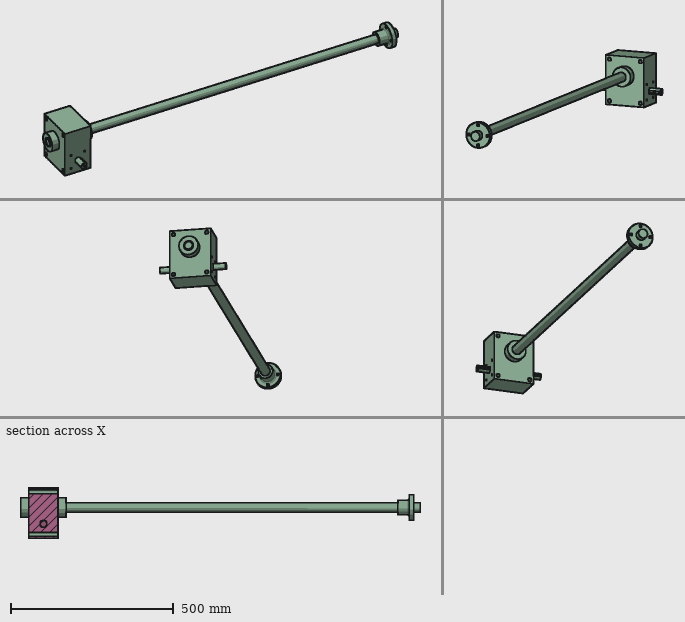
import cadquery as cq


housing_width = 129.0
housing_depth = 91.0
housing_height = 155.0
housing_center_z = -17.0
corner_hole_diameter = 11.0
corner_hole_pitch_x = 104.0
corner_hole_pitch_z = 130.0
mount_hole_diameter = 5.0
mount_hole_pitch = 48.0
mount_hole_depth = 12.0

sleeve_diameter = 60.0
sleeve_length = 140.0
sleeve_start_y = -sleeve_length / 2

spindle_diameter = 30.0
spindle_chamfer = 2.0
spindle_length = 1228.0
spindle_end_y = sleeve_start_y + spindle_length

nut_body_diameter = 45.0
nut_length = 49.0
nut_flange_diameter = 80.0
nut_flange_thickness = 15.0
nut_fillet_radius = 4.0
nut_end_setback = 20.0
nut_end_y = spindle_end_y - nut_end_setback
nut_hole_diameter = 7.0
nut_hole_circle_diameter = 63.0
nut_hole_count = 4

shaft_diameter = 20.0
shaft_length = 206.0
shaft_z = -50.0
center_hole_diameter = 5.0
center_hole_depth = 12.0
key_width = 6.0
key_length = 32.0
key_end_gap = 4.0
key_protrusion = 2.0
key_seat_depth = 4.0

BOTH_SIDES = (-1, 1)


def cylinder_along_y(diameter, start_y, length):
    """Cylinder on the spindle axis, from start_y toward +Y."""
    plane = cq.Plane(origin=(0, start_y, 0), xDir=(1, 0, 0), normal=(0, 1, 0))
    return cq.Workplane(plane).circle(diameter / 2).extrude(length)


def cylinder_along_x(diameter, start_x, length, y=0.0, z=shaft_z):
    """Cylinder parallel to X, from start_x toward +X, or toward -X if length is negative."""
    plane = cq.Plane(origin=(start_x, y, z), xDir=(0, 1, 0), normal=(1, 0, 0))
    return cq.Workplane(plane).circle(diameter / 2).extrude(length)


def drill_mount_holes(block, side):
    """Cut four blind holes around the worm shaft into one X side of the housing."""
    for y_side in BOTH_SIDES:
        for z_side in BOTH_SIDES:
            y = y_side * mount_hole_pitch / 2
            z = shaft_z + z_side * mount_hole_pitch / 2
            hole = cylinder_along_x(
                mount_hole_diameter, side * housing_width / 2, -side * mount_hole_depth, y, z
            )
            block = block.cut(hole)
    return block


def make_housing():
    """Block with corner through holes, mounting holes and bores for the sleeve and the shaft."""
    block = (
        cq.Workplane("XY")
        .box(housing_width, housing_depth, housing_height)
        .faces("<Y")
        .workplane(centerOption="CenterOfBoundBox")
        .rect(corner_hole_pitch_x, corner_hole_pitch_z, forConstruction=True)
        .vertices()
        .hole(corner_hole_diameter)
        .translate((0, 0, housing_center_z))
    )
    for side in BOTH_SIDES:
        block = drill_mount_holes(block, side)
    sleeve_bore = cylinder_along_y(sleeve_diameter, -housing_depth / 2, housing_depth)
    shaft_bore = cylinder_along_x(shaft_diameter, -housing_width / 2, housing_width)
    return block.cut(sleeve_bore).cut(shaft_bore)


def make_sleeve():
    """Tube around the spindle, standing out of the housing at both ends."""
    tube = cylinder_along_y(sleeve_diameter, sleeve_start_y, sleeve_length)
    bore = cylinder_along_y(spindle_diameter, sleeve_start_y, sleeve_length)
    return tube.cut(bore)


def make_spindle():
    """Long round bar with a chamfered front end."""
    bar = cylinder_along_y(spindle_diameter, sleeve_start_y, spindle_length)
    return bar.faces("<Y").chamfer(spindle_chamfer)


def make_nut():
    """Round nut with a drilled flange at its +Y end and a fillet between body and flange."""
    bore_radius = spindle_diameter / 2
    body_radius = nut_body_diameter / 2
    flange_radius = nut_flange_diameter / 2
    flange_start_y = nut_end_y - nut_flange_thickness
    nut = (
        cq.Workplane("XY")
        .moveTo(bore_radius, nut_end_y - nut_length)
        .lineTo(body_radius, nut_end_y - nut_length)
        .lineTo(body_radius, flange_start_y - nut_fillet_radius)
        .radiusArc((body_radius + nut_fillet_radius, flange_start_y), nut_fillet_radius)
        .lineTo(flange_radius, flange_start_y)
        .lineTo(flange_radius, nut_end_y)
        .lineTo(bore_radius, nut_end_y)
        .close()
        .revolve(360, (0, 0, 0), (0, 1, 0))
    )
    return (
        nut.faces(">Y")
        .workplane(origin=(0, nut_end_y, 0))
        .polarArray(nut_hole_circle_diameter / 2, 0, 360, nut_hole_count)
        .hole(nut_hole_diameter)
    )


def make_key(side):
    """Key on the +Y side of the worm shaft, near one shaft end and sunk into the shaft."""
    center_x = side * (shaft_length / 2 - key_end_gap - key_length / 2)
    height = key_protrusion + key_seat_depth
    center_y = shaft_diameter / 2 + key_protrusion - height / 2
    return cq.Workplane("XY").box(key_length, height, key_width).translate((center_x, center_y, shaft_z))


def make_worm_shaft():
    """Shaft across the housing, with a key and a center hole at each end."""
    shaft = cylinder_along_x(shaft_diameter, -shaft_length / 2, shaft_length)
    for side in BOTH_SIDES:
        center_hole = cylinder_along_x(
            center_hole_diameter, side * shaft_length / 2, -side * center_hole_depth
        )
        shaft = shaft.cut(center_hole).union(make_key(side))
    return shaft


housing = make_housing()
sleeve = make_sleeve()
spindle = make_spindle()
nut = make_nut()
worm_shaft = make_worm_shaft()

bodies = [housing, sleeve, spindle, nut, worm_shaft]
result = cq.Compound.makeCompound([body.solids().val() for body in bodies])